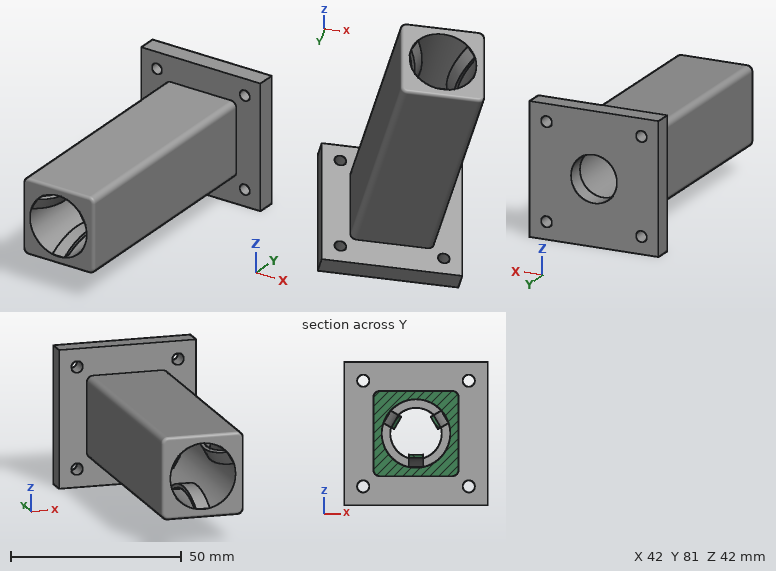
import cadquery as cq
import math

total_length = 81.0
flange_size = 42.0
flange_thickness = 6.0
tube_size = 25.0
tube_corner_radius = 1.95
mouth_edge_radius = 1.0

bore_diameter = 20.0
outlet_diameter = 15.0

mount_hole_diameter = 3.5
mount_hole_pitch = 30.95

spring_count = 3
spring_width = 4.2
spring_thickness = 1.1
spring_length = 25.9
spring_crest_radius = 6.1

mouth_y = -total_length / 2
flange_rear_y = total_length / 2
flange_front_y = flange_rear_y - flange_thickness
bore_radius = bore_diameter / 2


def rod_along_y(diameter, start_y, end_y):
    """Cylinder on the Y axis between two Y positions."""
    return (
        cq.Workplane("XZ", origin=(0, start_y, 0))
        .circle(diameter / 2)
        .extrude(start_y - end_y)
    )


def make_housing():
    tube_length = flange_front_y - mouth_y
    tube = (
        cq.Workplane("XZ", origin=(0, flange_front_y, 0))
        .rect(tube_size, tube_size)
        .extrude(tube_length)
        .edges("|Y")
        .fillet(tube_corner_radius)
        .faces("<Y")
        .edges()
        .fillet(mouth_edge_radius)
    )
    flange = (
        cq.Workplane("XZ", origin=(0, flange_rear_y, 0))
        .rect(flange_size, flange_size)
        .extrude(flange_thickness)
    )
    mount_holes = (
        cq.Workplane("XZ", origin=(0, flange_rear_y, 0))
        .rect(mount_hole_pitch, mount_hole_pitch, forConstruction=True)
        .vertices()
        .circle(mount_hole_diameter / 2)
        .extrude(flange_thickness)
    )
    bore = rod_along_y(bore_diameter, mouth_y, flange_front_y)
    outlet = rod_along_y(outlet_diameter, flange_front_y, flange_rear_y)
    return tube.union(flange).cut(mount_holes).cut(bore).cut(outlet)


def make_spring(angle):
    """Leaf bowed toward the bore axis, its two ends resting on the bore wall."""
    wall_z = -math.sqrt(bore_radius**2 - (spring_width / 2) ** 2)
    crest_y = mouth_y + spring_length / 2
    crest_z = -spring_crest_radius
    rise = crest_z - wall_z
    bow_radius = ((spring_length / 2) ** 2 + rise**2) / (2 * rise)
    inner_radius = bow_radius - spring_thickness
    inner_half_length = math.sqrt(inner_radius**2 - (bow_radius - rise) ** 2)
    leaf = (
        cq.Workplane("YZ")
        .moveTo(mouth_y, wall_z)
        .threePointArc((crest_y, crest_z), (mouth_y + spring_length, wall_z))
        .lineTo(crest_y + inner_half_length, wall_z)
        .threePointArc((crest_y, crest_z - spring_thickness), (crest_y - inner_half_length, wall_z))
        .close()
        .extrude(spring_width / 2, both=True)
    )
    return leaf.rotate((0, 0, 0), (0, 1, 0), angle)


housing = make_housing()
springs = [make_spring(index * 360 / spring_count) for index in range(spring_count)]

result = cq.Compound.makeCompound([housing.val(), *[spring.val() for spring in springs]])